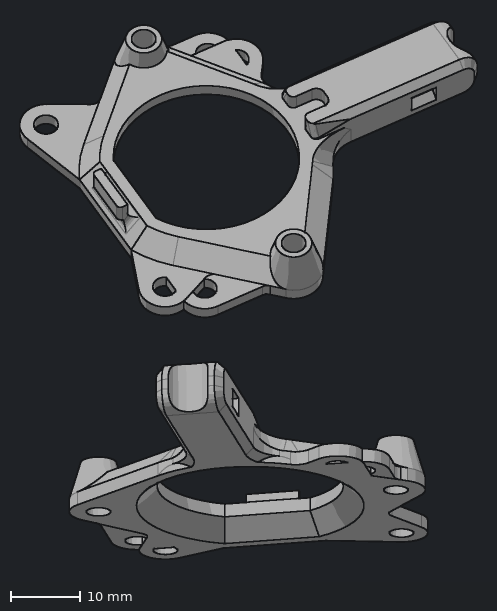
import cadquery as cq
import math

TOTAL_WIDTH = 52.3
TOTAL_LENGTH = 62.35
TOTAL_HEIGHT = 7.5

plate_height = 2.0
ring_height = 5
slope_height = ring_height - plate_height
SLOPE_ANGLE = 45

ring_radius = 18.3
bore_radius = 13.4
ring_flat_y = -16.7
bore_flat_y = -11.85
bore_flare = 3.0

post_base_radius = 4.25
post_top_radius = 2.6
post_x = TOTAL_WIDTH / 2 - post_base_radius
post_y = 2.05
screw_hole_radius = 1.75

ear_radius = 3.8
upper_ear = (-15.95, 14.1)
lower_left_ear = (-18.9, -15.85)
lower_right_ear = (15.9, -15.85)
tab_x = 19.0
tab_y = 11.05
tab_end_root_x = 10.6
ear_fillet = 1.5
upper_ear_fillet = 2.5

arm_width = 10
arm_tip_y = TOTAL_LENGTH + lower_left_ear[1] - ear_radius
arm_end_y = 15.0
arm_root_start_y = 12.5
arm_chamfer = 1.1
arm_tip_radius = 3.0
arm_root_fillet = 5
prong_foot_width = 10.1
prong_slot_width = 3.55
prong_slot_end_y = 19.75
prong_slot_fillet = 1.25
prong_corner_radius = 0.9
tip_notch_radius = 3.0
tip_notch_depth = 2.4

strap_start_y = 31.2
strap_end_y = 35.3
strap_mouth_z = 2.25
strap_floor_z = 3.4
strap_roof_z = 5

hook_width = 7.75
hook_back_y = -15.2
hook_stem_front_y = -15.85
hook_lip_z = 4.7
hook_root_fillet = 1.05
hook_back_fillet = 0.8
hook_corner_radius = 0.6
hook_lip_fillet = 0.75

MARGIN = 0.05


def polar(center, radius, angle):
    return (center[0] + radius * math.cos(angle), center[1] + radius * math.sin(angle))


def tangent_angle(center, radius, point, side):
    """Angle at which a line from the point touches the circle; side is +1 or -1."""
    dx = point[0] - center[0]
    dy = point[1] - center[1]
    return math.atan2(dy, dx) + side * math.acos(radius / math.hypot(dx, dy))


def ear_plate(center, first_root, last_root):
    """Round-ended ear whose straight sides run to two points, taken counter-clockwise."""
    start = tangent_angle(center, ear_radius, first_root, 1)
    end = tangent_angle(center, ear_radius, last_root, -1)
    if end < start:
        end += 2 * math.pi
    return (
        cq.Workplane("XY")
        .moveTo(*first_root)
        .lineTo(*polar(center, ear_radius, start))
        .threePointArc(
            polar(center, ear_radius, (start + end) / 2), polar(center, ear_radius, end)
        )
        .lineTo(*last_root)
        .lineTo(0, 0)
        .close()
        .extrude(plate_height)
    )


def round_hole(center):
    return cq.Workplane("XY").center(*center).circle(screw_hole_radius).extrude(TOTAL_HEIGHT)


post_distance = math.hypot(post_x, post_y)
post_bearing = math.atan2(post_y, post_x)
side_spread = math.acos((ring_radius - post_base_radius) / post_distance)
upper_side_angle = post_bearing + side_spread
lower_side_angle = post_bearing - side_spread
flat_end_x = math.sqrt(ring_radius**2 - ring_flat_y**2)
flat_end_angle = math.atan2(ring_flat_y, flat_end_x)


def mirrored(point):
    return (-point[0], point[1])


def ring_outline():
    post = (post_x, post_y)
    flat_end = (flat_end_x, ring_flat_y)
    lower_mid = polar((0, 0), ring_radius, (flat_end_angle + lower_side_angle) / 2)
    lower_ring = polar((0, 0), ring_radius, lower_side_angle)
    lower_post = polar(post, post_base_radius, lower_side_angle)
    outer_post = polar(post, post_base_radius, post_bearing)
    upper_post = polar(post, post_base_radius, upper_side_angle)
    upper_ring = polar((0, 0), ring_radius, upper_side_angle)
    return (
        cq.Workplane("XY")
        .moveTo(*mirrored(flat_end))
        .lineTo(*flat_end)
        .threePointArc(lower_mid, lower_ring)
        .lineTo(*lower_post)
        .threePointArc(outer_post, upper_post)
        .lineTo(*upper_ring)
        .threePointArc((0, ring_radius), mirrored(upper_ring))
        .lineTo(*mirrored(upper_post))
        .threePointArc(mirrored(outer_post), mirrored(lower_post))
        .lineTo(*mirrored(lower_ring))
        .threePointArc(mirrored(lower_mid), mirrored(flat_end))
        .close()
    )


def ring_body():
    base = ring_outline().extrude(plate_height)
    flank = ring_outline().extrude(slope_height, taper=SLOPE_ANGLE)
    return base.union(flank.translate((0, 0, plate_height)))


def bore():
    """D-shaped opening with a 45 degree flare at the bottom."""
    half_flat = math.sqrt(bore_radius**2 - bore_flat_y**2)
    opening = (
        cq.Workplane("XY")
        .moveTo(-half_flat, bore_flat_y)
        .lineTo(half_flat, bore_flat_y)
        .threePointArc((0, bore_radius), (-half_flat, bore_flat_y))
        .close()
        .extrude(ring_height)
    )
    wide_radius = bore_radius + bore_flare
    flare = cq.Solid.makeCone(wide_radius, bore_radius, bore_flare)
    flare_limit = (
        cq.Workplane("YZ")
        .moveTo(bore_flat_y - bore_flare, 0)
        .lineTo(bore_flat_y, bore_flare)
        .lineTo(wide_radius, bore_flare)
        .lineTo(wide_radius, 0)
        .close()
        .extrude(wide_radius, both=True)
    )
    return opening.union(flare_limit.intersect(cq.Workplane(flare)))


def post(x):
    cone = cq.Solid.makeCone(
        post_base_radius, post_top_radius, TOTAL_HEIGHT - plate_height,
        pnt=cq.Vector(x, post_y, plate_height),
    )
    return cq.Workplane(cone)


left_flat_end = (-flat_end_x, ring_flat_y)
right_flat_end = (flat_end_x, ring_flat_y)
lower_left_root = (-18.2, -7.0)
lower_right_root = (16.6, -8.35)
upper_right_root = (-10.35, 14.8)
upper_left_root = (upper_ear[0] - ear_radius, 8.7)


def filleted_root(plate, root, radius):
    corner = cq.selectors.NearestToPointSelector((*root, plate_height / 2))
    return plate.edges("|Z").edges(corner).fillet(radius)


def ear_ring():
    """Base plate of the ring with its three ears."""
    plate = ring_outline().extrude(plate_height)
    plate = plate.union(ear_plate(upper_ear, upper_right_root, upper_left_root))
    plate = plate.union(ear_plate(lower_left_ear, lower_left_root, left_flat_end))
    plate = plate.union(ear_plate(lower_right_ear, right_flat_end, lower_right_root))
    plate = filleted_root(plate, upper_right_root, upper_ear_fillet)
    plate = filleted_root(plate, lower_left_root, ear_fillet)
    return filleted_root(plate, lower_right_root, ear_fillet)


root_fillet_x = arm_width / 2 + arm_root_fillet
arm_full_y = math.sqrt((ring_radius + arm_root_fillet) ** 2 - root_fillet_x**2)


def ring_with_arm_root():
    """Ring whose flank blends into the foot of the arm with large fillets."""
    half_width = arm_width / 2
    foot_height = TOTAL_HEIGHT - arm_chamfer
    foot_length = arm_full_y - arm_root_start_y + arm_root_fillet
    foot = (
        cq.Workplane("XY")
        .box(arm_width, foot_length, foot_height, centered=(True, False, False))
        .translate((0, arm_root_start_y, 0))
    )
    body = ring_body().union(foot)
    corners = []
    for x in (-half_width, half_width):
        near_side = cq.selectors.BoxSelector(
            (x - MARGIN, arm_root_start_y, -MARGIN), (x + MARGIN, arm_full_y, ring_height)
        )
        corners += body.edges(near_side).vals()
    body = body.newObject(corners).fillet(arm_root_fillet)
    before_arm = (
        cq.Workplane("XY")
        .box(TOTAL_WIDTH, arm_end_y, TOTAL_HEIGHT, centered=(True, False, False))
        .translate((0, 0, ring_height))
    )
    beyond_root = before_arm.translate((0, arm_full_y, -ring_height))
    body = body.cut(before_arm).cut(beyond_root)
    for x in (-root_fillet_x, root_fillet_x):
        body = body.cut(root_chamfer_cone(x))
    return body


def root_chamfer_cone(x):
    """Chamfers the lower edge of a root fillet in line with the edges of the arm."""
    cone = cq.Solid.makeCone(
        arm_root_fillet + arm_chamfer, arm_root_fillet, arm_chamfer,
        pnt=cq.Vector(x, arm_full_y, 0),
    )
    return cq.Workplane(cone)


def arm_shaft():
    """Full-height arm with a rounded tip and chamfered long edges."""
    length = arm_tip_y - arm_root_start_y
    bar = (
        cq.Workplane("XY")
        .box(arm_width, length, TOTAL_HEIGHT, centered=(True, False, False))
        .edges("|X and >Y")
        .fillet(arm_tip_radius)
        .faces("<X or >X")
        .chamfer(arm_chamfer)
    )
    bar = bar.translate((0, arm_root_start_y, 0))
    before_shaft = cq.Workplane("XY").box(arm_width, 2 * arm_end_y, 2 * TOTAL_HEIGHT)
    return bar.cut(before_shaft)


def prong_side_cut():
    """Space beside the right prong, bounded by a plane that leans out towards the ring and the arm."""
    half_top = arm_width / 2 - arm_chamfer
    half_foot = prong_foot_width / 2
    prong_height = TOTAL_HEIGHT - ring_height
    half_shoulder = half_top + (half_foot - half_top) * arm_chamfer / prong_height
    spread = arm_width / 2 - half_shoulder

    def section(shift):
        return [
            (half_foot + shift, 0), (arm_width, 0),
            (arm_width, prong_height), (half_top + shift, prong_height),
        ]

    return (
        cq.Workplane("XZ", origin=(0, arm_end_y, ring_height))
        .polyline(section(0))
        .close()
        .workplane(offset=arm_end_y - arm_full_y)
        .polyline(section(spread))
        .close()
        .loft(ruled=True)
    )


def shape_prongs(body):
    """Leaning sides, slot and rounded ends of the two prongs standing on the ring."""
    side_cut = prong_side_cut()
    body = body.cut(side_cut).cut(side_cut.mirror("YZ")).cut(prong_slot())
    prong_ends = cq.selectors.BoxSelector(
        (-arm_width, arm_end_y - MARGIN, ring_height + MARGIN),
        (arm_width, arm_end_y + MARGIN, TOTAL_HEIGHT - MARGIN),
    )
    return body.edges(prong_ends).fillet(prong_corner_radius)


def prong_slot():
    slot_length = prong_slot_end_y - arm_end_y
    return (
        cq.Workplane("XY")
        .box(prong_slot_width, slot_length, TOTAL_HEIGHT, centered=(True, False, False))
        .translate((0, arm_end_y, ring_height))
        .edges("|Z and >Y")
        .fillet(prong_slot_fillet)
    )


def tip_notch():
    center_y = arm_tip_y - tip_notch_depth + tip_notch_radius
    return cq.Workplane("XY").center(0, center_y).circle(tip_notch_radius).extrude(TOTAL_HEIGHT)


def strap_passage():
    half_width = arm_width / 2
    half_floor = half_width - (strap_floor_z - strap_mouth_z)
    return (
        cq.Workplane("XZ", origin=(0, strap_start_y, 0))
        .moveTo(-half_width, strap_mouth_z)
        .lineTo(-half_floor, strap_floor_z)
        .lineTo(half_floor, strap_floor_z)
        .lineTo(half_width, strap_mouth_z)
        .lineTo(half_width, strap_roof_z)
        .lineTo(-half_width, strap_roof_z)
        .close()
        .extrude(strap_start_y - strap_end_y)
    )


def add_hook(body):
    """Upright lip on a filleted stem, rising from the straight flank of the ring."""
    stem_depth = hook_back_y - hook_stem_front_y
    stem = (
        cq.Workplane("XY")
        .box(hook_width, stem_depth, TOTAL_HEIGHT - plate_height, centered=(True, False, False))
        .translate((0, hook_stem_front_y, plate_height))
    )
    lip_depth = hook_back_y - ring_flat_y
    lip = (
        cq.Workplane("XY")
        .box(hook_width, lip_depth, TOTAL_HEIGHT - hook_lip_z, centered=(True, False, False))
        .translate((0, ring_flat_y, hook_lip_z))
        .edges("|Z and <Y")
        .fillet(hook_corner_radius)
    )
    body = body.union(stem)
    half_reach = hook_width / 2 + MARGIN
    front_and_ends = cq.selectors.BoxSelector(
        (-half_reach, hook_stem_front_y - MARGIN, plate_height + MARGIN),
        (half_reach, hook_back_y - MARGIN, ring_height),
    )
    back = cq.selectors.BoxSelector(
        (-half_reach, hook_back_y - MARGIN, plate_height + MARGIN),
        (half_reach, hook_back_y + MARGIN, ring_height),
    )
    body = body.edges(front_and_ends).fillet(hook_root_fillet)
    body = body.edges(back).fillet(hook_back_fillet).union(lip)
    under_lip = cq.selectors.BoxSelector(
        (-half_reach, hook_stem_front_y - MARGIN, hook_lip_z - MARGIN),
        (half_reach, hook_stem_front_y + MARGIN, hook_lip_z + MARGIN),
    )
    return body.edges(under_lip).fillet(hook_lip_fillet)


def corner_tab_plate(side):
    """Tab beside the upper left (-1) or lower right (+1) ear, before fitting it to the frame."""
    center = (side * tab_x, -side * tab_y)
    ring_side_angle = upper_side_angle if side < 0 else lower_side_angle
    side_x = tab_x + ear_radius
    side_y = (ring_radius - side_x * math.cos(ring_side_angle)) / math.sin(ring_side_angle)
    side_root = (side * side_x, side_y)
    end_root = (side * tab_end_root_x, -side * (tab_y + ear_radius))
    ring_plate = ring_outline().extrude(plate_height)
    plate = ring_plate.union(ear_plate(center, end_root, side_root))
    plate = filleted_root(plate, side_root, ear_fillet)
    return plate.cut(ring_plate).cut(round_hole(center))


def frame_body():
    body = shape_prongs(ring_with_arm_root().union(arm_shaft()))
    body = add_hook(body).union(ear_ring())
    for x in (-post_x, post_x):
        body = body.union(post(x)).cut(round_hole((x, post_y)))
    body = body.cut(bore()).cut(tip_notch()).cut(strap_passage())
    body = body.cut(round_hole(lower_left_ear))
    body = body.cut(round_hole(upper_ear).cut(corner_tab_plate(-1)))
    return body.cut(round_hole(lower_right_ear).cut(corner_tab_plate(1)))


frame = frame_body()
corner_tabs = [corner_tab_plate(side).cut(frame) for side in (-1, 1)]

result = cq.Compound.makeCompound([frame.val(), *[tab.val() for tab in corner_tabs]])